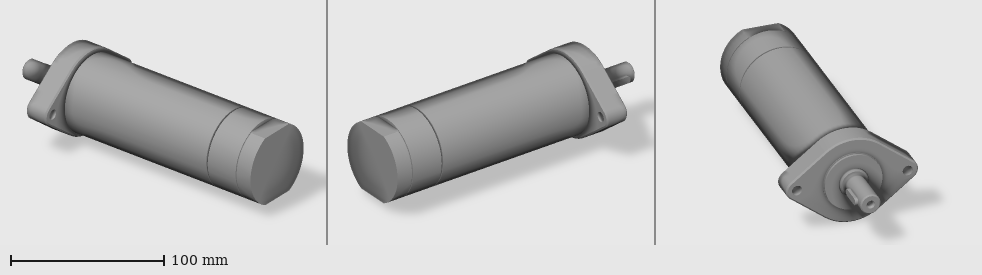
import cadquery as cq
import math

length = 207.3

shaft_d = 14.0
shaft_chamfer = 0.8
collar_fillet_r = 1.5
collar_face_x = 30.0
collar_bevel_start_d = 17.8
collar_d = 20.0
collar_clearance_d = 21.0
collar_clearance_depth = 1.0

centre_hole_d = 4.1
centre_hole_depth = 8.3
countersink_d = 5.8
countersink_depth = 1.2

key_x = 5.2
key_length = 17.8
key_width = 5.0
key_top = 9.0
key_seat = 4.1

pilot_x = 32.0
pilot_d = 40.0
pilot_root_width = 0.6
pilot_root_d = 41.0

flange_x = 34.5
flange_thickness = 16.5
flange_d = 62.0
flange_half_span = 46.0
bolt_y = 38.5
bolt_hole_d = 7.0
flange_chamfer = 1.0

body_d = 56.0
body_x = 52.7
neck_d = 48.3
groove_x = 170.5
groove_width = 1.2
groove_d = 48.0
cap_x = 194.9
cap_relief_width = 0.8
cap_relief_d = 54.7
cap_across_flats = 50.0


def cylinder(start_x, end_x, diameter):
    return cq.Workplane("YZ", origin=(start_x, 0, 0)).circle(diameter / 2).extrude(end_x - start_x)


def make_shaft():
    """Chamfered shaft that flares through a concave fillet into the bevelled collar."""
    shaft_r = shaft_d / 2
    flare_x = collar_face_x - collar_fillet_r
    flare_r = shaft_r + collar_fillet_r
    arc_offset = collar_fillet_r * math.sin(math.radians(45))
    bevel = (collar_d - collar_bevel_start_d) / 2
    bevel_end_x = collar_face_x + bevel
    return (
        cq.Workplane("XY")
        .lineTo(0, shaft_r - shaft_chamfer)
        .lineTo(shaft_chamfer, shaft_r)
        .lineTo(flare_x, shaft_r)
        .threePointArc((flare_x + arc_offset, flare_r - arc_offset), (collar_face_x, flare_r))
        .lineTo(collar_face_x, collar_bevel_start_d / 2)
        .lineTo(bevel_end_x, collar_d / 2)
        .lineTo(flange_x, collar_d / 2)
        .lineTo(flange_x, 0)
        .close()
        .revolve(360, (0, 0, 0), (1, 0, 0))
    )


def make_centre_hole():
    """Countersunk blind hole with a conical bottom."""
    hole_r = centre_hole_d / 2
    countersink_r = countersink_d / 2
    return (
        cq.Workplane("XY")
        .lineTo(0, countersink_r)
        .lineTo(countersink_depth, hole_r)
        .lineTo(centre_hole_depth, hole_r)
        .lineTo(centre_hole_depth + hole_r, 0)
        .close()
        .revolve(360, (0, 0, 0), (1, 0, 0))
    )


def make_key():
    return (
        cq.Workplane("XZ", origin=(key_x + key_length / 2, key_seat, 0))
        .slot2D(key_length, key_width)
        .extrude(-(key_top - key_seat))
    )


def make_pilot():
    """Pilot with a slightly larger ring at its root and a clearance recess around the collar."""
    root_x = flange_x - pilot_root_width
    clearance = cylinder(pilot_x, pilot_x + collar_clearance_depth, collar_clearance_d)
    return (
        cylinder(pilot_x, root_x, pilot_d)
        .union(cylinder(root_x, flange_x, pilot_root_d))
        .cut(clearance)
    )


def make_flange():
    """Central disc joined by tangent lines to a small lobe around each bolt hole."""
    flange_r = flange_d / 2
    lobe_r = flange_half_span - bolt_y
    tangent_y = (flange_r - lobe_r) / bolt_y
    tangent_z = math.sqrt(1 - tangent_y**2)
    disc_y = flange_r * tangent_y
    disc_z = flange_r * tangent_z
    lobe_y = bolt_y + lobe_r * tangent_y
    lobe_z = lobe_r * tangent_z
    return (
        cq.Workplane("YZ", origin=(flange_x, 0, 0))
        .moveTo(-disc_y, disc_z)
        .threePointArc((0, flange_r), (disc_y, disc_z))
        .lineTo(lobe_y, lobe_z)
        .threePointArc((flange_half_span, 0), (lobe_y, -lobe_z))
        .lineTo(disc_y, -disc_z)
        .threePointArc((0, -flange_r), (-disc_y, -disc_z))
        .lineTo(-lobe_y, -lobe_z)
        .threePointArc((-flange_half_span, 0), (-lobe_y, lobe_z))
        .close()
        .extrude(flange_thickness)
        .faces("<X or >X")
        .chamfer(flange_chamfer)
        .faces("<X")
        .workplane(origin=(flange_x, 0, 0))
        .pushPoints([(-bolt_y, 0), (bolt_y, 0)])
        .hole(bolt_hole_d)
    )


def make_body():
    """Neck behind the flange, then the body with its narrow parting groove."""
    flange_back_x = flange_x + flange_thickness
    groove_end_x = groove_x + groove_width
    return (
        cylinder(flange_back_x, body_x, neck_d)
        .union(cylinder(body_x, groove_x, body_d))
        .union(cylinder(groove_x, groove_end_x, groove_d))
        .union(cylinder(groove_end_x, cap_x, body_d))
    )


def make_cap():
    """End cap with flats on its +Z and -Z sides."""
    rim_x = cap_x + cap_relief_width
    cap_length = length - cap_x
    cap_middle_x = cap_x + cap_length / 2
    flats = cq.Workplane("XY", origin=(cap_middle_x, 0, 0)).box(cap_length, body_d, cap_across_flats)
    round_cap = cylinder(cap_x, rim_x, cap_relief_d).union(cylinder(rim_x, length, body_d))
    return round_cap.intersect(flats)


result = (
    make_shaft()
    .union(make_key())
    .union(make_pilot())
    .union(make_flange())
    .union(make_body())
    .union(make_cap())
    .cut(make_centre_hole())
)